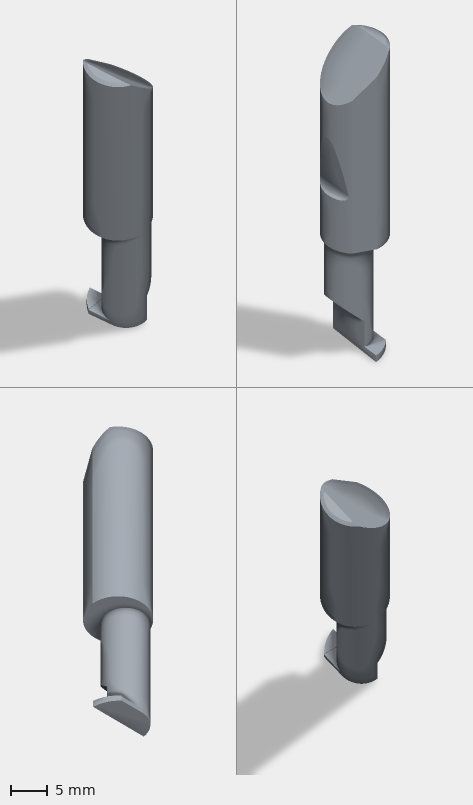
import cadquery as cq
import math

length = 50.8
shank_radius = 4.8
shank_bottom = 19.0

slant_start_y = -2.95
rim_chamfer_width = 0.5
rim_chamfer_height = 0.3

flat_end_angle = 137.0

notch_bottom = 27.6
notch_top = 37.1
notch_depth = 1.3
notch_radius = 0.9

neck_radius = 3.4
neck_x = shank_radius - neck_radius
neck_relief_z = 5.4

tip_top = 1.1
tip_step = 0.1
tip_point_x = -4.6
flank_end_x = -2.85
flank_end_y = -3.1
flank_mid_x = -4.0
flank_mid_y = -1.65
tip_front_x = -2.55
underside_slope_x = 0.042
underside_slope_y = 0.03

clearance = 2.55


def across_x(points):
    """Prism along X whose section is given as (Y, Z) points."""
    return cq.Workplane("YZ").polyline(points).close().extrude(2 * shank_radius, both=True)


def make_shank():
    shank = cq.Workplane("XY").workplane(offset=shank_bottom).circle(shank_radius)
    shank = shank.extrude(length - shank_bottom)
    return shank.faces(">Z").chamfer(rim_chamfer_height, rim_chamfer_width)


def slanted_end():
    """Material above a 45 degree plane that falls towards +Y."""
    outer_y = shank_radius + clearance
    drop = outer_y - slant_start_y
    rise = clearance
    return across_x([
        (slant_start_y - rise, length + rise),
        (outer_y, length - drop),
        (outer_y, length + rise),
    ])


def shank_flat():
    """Material outside the chord that forms the flat."""
    half_angle = (180.0 - flat_end_angle) / 2
    chord_distance = shank_radius * math.cos(math.radians(half_angle))
    cutter = cq.Workplane("XY").box(
        clearance, 2 * shank_radius, length, centered=(False, True, False)
    )
    cutter = cutter.translate((chord_distance, 0, shank_bottom))
    return cutter.rotate((0, 0, 0), (0, 0, 1), flat_end_angle + half_angle)


def clamping_notch():
    """Notch with a level floor, a rounded root and a long slanted wall."""
    root_y = shank_radius - notch_depth
    wall_slope = notch_depth / (notch_top - notch_bottom)
    outer_y = shank_radius + clearance
    outer_z = notch_top + clearance / wall_slope
    notch = across_x([(root_y, notch_bottom), (outer_y, notch_bottom), (outer_y, outer_z)])
    root = cq.selectors.NearestToPointSelector((0, root_y, notch_bottom))
    return notch.edges("|X").edges(root).fillet(notch_radius)


def make_neck():
    neck = cq.Workplane("XY").center(neck_x, 0).circle(neck_radius).extrude(shank_bottom)
    outer_y = neck_radius + clearance
    relief = across_x([
        (0, -clearance),
        (0, neck_relief_z),
        (outer_y, neck_relief_z + outer_y),
        (outer_y, -clearance),
    ])
    return neck.cut(relief)


def make_tip():
    """Hooked cutting tip with a curved flank, ending tangent to the neck."""
    tip = (
        cq.Workplane("XY")
        .moveTo(tip_point_x, 0)
        .threePointArc((flank_mid_x, flank_mid_y), (flank_end_x, flank_end_y))
        .lineTo(tip_front_x, -neck_radius)
        .lineTo(neck_x, -neck_radius)
        .lineTo(neck_x, 0)
        .close()
        .extrude(tip_top)
    )
    lowered_top = (
        cq.Workplane("XY")
        .workplane(offset=tip_top - tip_step)
        .moveTo(neck_x - neck_radius, 0)
        .lineTo(tip_front_x, -neck_radius)
        .lineTo(neck_x, -neck_radius)
        .lineTo(neck_x, 0)
        .close()
        .extrude(tip_step)
    )
    return tip.cut(lowered_top)


def underside_relief():
    """Material below the plane that rises from the tip point towards +X and -Y."""
    normal = (underside_slope_x, -underside_slope_y, -1)
    plane = cq.Plane(origin=(tip_point_x, 0, 0), xDir=(1, 0, underside_slope_x), normal=normal)
    return cq.Workplane(plane).rect(6 * shank_radius, 6 * shank_radius).extrude(clearance)


shank = make_shank().cut(slanted_end()).cut(shank_flat()).cut(clamping_notch())
cutting_end = make_neck().union(make_tip()).cut(underside_relief())
result = shank.union(cutting_end)